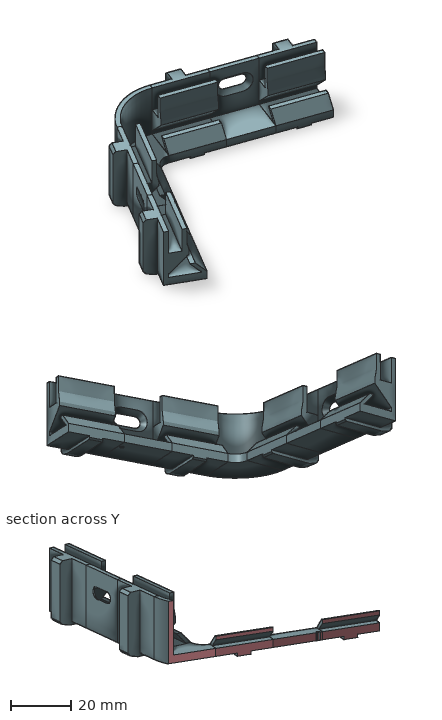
import cadquery as cq

BEND_ANGLE = 80.0
TILT = -0.2
OUTER_RADIUS = 20.0
WIDTH = 14.9
WALL = 1.8
HEIGHT = 22.0
FLOOR = 3.0

CLIP_LENGTH = 21.0
PLAIN_LENGTH = 18.0
LEG_LENGTH = 2 * CLIP_LENGTH + PLAIN_LENGTH

LEDGE_HEIGHT = 13.0
LEDGE_ROOT_HEIGHT = 4.3
PLATE_OUTER = 6.35
PLATE_INNER = 8.0
BUMP_TIP = 8.8
BUMP_TOP = 16.5
BUMP_LOW = 12.6
LIP_HEIGHT = 7.2
LIP_TOP_EDGE = 10.9
LIP_THICKNESS = 1.9

HOOK_WIDTH = 5.0
HOOK_REACH = 4.9
HOOK_TOP_CHAMFER = 1.0
TIP_LOW = 0.8
TIP_RUN = 0.9
BEVEL_LOW = -0.3
FOOT_RUN = 3.9
FOOT_DEPTH = 1.1
FOOT_CHAMFER = 0.6

SLOT_LENGTH = 10.0
SLOT_HEIGHT = 4.0
SLOT_CENTRE_Z = 14.0
SLOT_FLARE = 45.0

RING_RADIUS = 0.75
CORE_RADIUS = 0.4
RING_FROM_BLOCK_START = 16.5
RING_FROM_OUTER_FACE = 10.55


def extrude_section(points, length):
    """Extrude a section of (distance from the outer face, height) points along +X from x = 0."""
    return cq.Workplane("YZ").polyline(points).close().extrude(length)


def make_hook():
    """Rib hook with its foot, centred on the length of a clip block."""
    tip = -HOOK_REACH
    section = [
        (WALL, HEIGHT),
        (tip + HOOK_TOP_CHAMFER, HEIGHT),
        (tip, HEIGHT - HOOK_TOP_CHAMFER),
        (tip, TIP_LOW),
        (tip + TIP_RUN, BEVEL_LOW),
        (tip + FOOT_RUN, -FOOT_DEPTH),
        (WIDTH - FOOT_CHAMFER, -FOOT_DEPTH),
        (WIDTH, FOOT_CHAMFER - FOOT_DEPTH),
        (WIDTH, FLOOR),
        (WALL, FLOOR),
    ]
    start = (CLIP_LENGTH - HOOK_WIDTH) / 2
    return extrude_section(section, HOOK_WIDTH).translate((start, 0, 0))


def make_clip_block():
    """Leg block with the wall, ledge, spring plate, slanted lip and one rib hook."""
    section = [
        (0, 0),
        (0, HEIGHT),
        (WALL, HEIGHT),
        (WALL, LEDGE_HEIGHT),
        (PLATE_OUTER, LEDGE_HEIGHT),
        (PLATE_OUTER, HEIGHT),
        (PLATE_INNER, HEIGHT),
        (PLATE_INNER, BUMP_TOP),
        (BUMP_TIP, BUMP_LOW),
        (BUMP_TIP, LEDGE_ROOT_HEIGHT + BUMP_TIP - WALL),
        (WALL, LEDGE_ROOT_HEIGHT),
        (WALL, FLOOR),
        (WIDTH - LIP_THICKNESS, FLOOR),
        (LIP_TOP_EDGE - LIP_THICKNESS, LIP_HEIGHT),
        (LIP_TOP_EDGE, LIP_HEIGHT),
        (WIDTH, FLOOR),
        (WIDTH, 0),
    ]
    return extrude_section(section, CLIP_LENGTH).union(make_hook())


def make_plain_block():
    """Leg block of floor and wall, with a round-ended slot through the wall."""
    section = [(0, 0), (0, HEIGHT), (WALL, HEIGHT), (WALL, FLOOR), (WIDTH, FLOOR), (WIDTH, 0)]
    slot = (
        cq.Workplane("XZ")
        .center(PLAIN_LENGTH / 2, SLOT_CENTRE_Z)
        .slot2D(SLOT_LENGTH, SLOT_HEIGHT)
        .extrude(-WALL, taper=-SLOT_FLARE)
    )
    return extrude_section(section, PLAIN_LENGTH).cut(slot)


def make_floor_cylinder(radius):
    """Upright cylinder through the floor of a plain block, at the place of the ring cut."""
    return (
        cq.Workplane("XY")
        .center(RING_FROM_BLOCK_START, RING_FROM_OUTER_FACE)
        .circle(radius)
        .extrude(FLOOR)
    )


def make_bend():
    """Floor and wall swept around Z, the bend's centre, from the first leg back to the second."""
    inner_radius = OUTER_RADIUS - WIDTH
    wall_radius = OUTER_RADIUS - WALL
    section = [
        (inner_radius, 0),
        (OUTER_RADIUS, 0),
        (OUTER_RADIUS, HEIGHT),
        (wall_radius, HEIGHT),
        (wall_radius, FLOOR),
        (inner_radius, FLOOR),
    ]
    swept = cq.Workplane("XZ").polyline(section).close().revolve(BEND_ANGLE, (0, 0), (0, 1))
    return turn(swept, -90 - BEND_ANGLE)


def turn(body, angle):
    return body.rotate((0, 0, 0), (0, 0, 1), angle)


def place_on_leg(body, along, leg_start, leg_angle):
    """Move a body to its place along a leg, then swing the leg around the bend's centre."""
    return turn(body.translate((leg_start + along, -OUTER_RADIUS, 0)), leg_angle)


core = make_floor_cylinder(CORE_RADIUS)
clip_block = make_clip_block()
plain_block = make_plain_block()
ringed_block = plain_block.cut(make_floor_cylinder(RING_RADIUS))

FIRST_LEG = (0, 0)
SECOND_LEG = (-LEG_LENGTH, -BEND_ANGLE)

clips = [
    place_on_leg(clip_block, along, *leg)
    for leg in (FIRST_LEG, SECOND_LEG)
    for along in (0, CLIP_LENGTH + PLAIN_LENGTH)
]
plains = [
    place_on_leg(ringed_block, CLIP_LENGTH, *FIRST_LEG),
    place_on_leg(plain_block, CLIP_LENGTH, *SECOND_LEG),
]
cores = [place_on_leg(core, CLIP_LENGTH, *FIRST_LEG)]

bodies = [make_bend(), *clips, *plains, *cores]
result = cq.Compound.makeCompound([turn(body, TILT).val() for body in bodies])